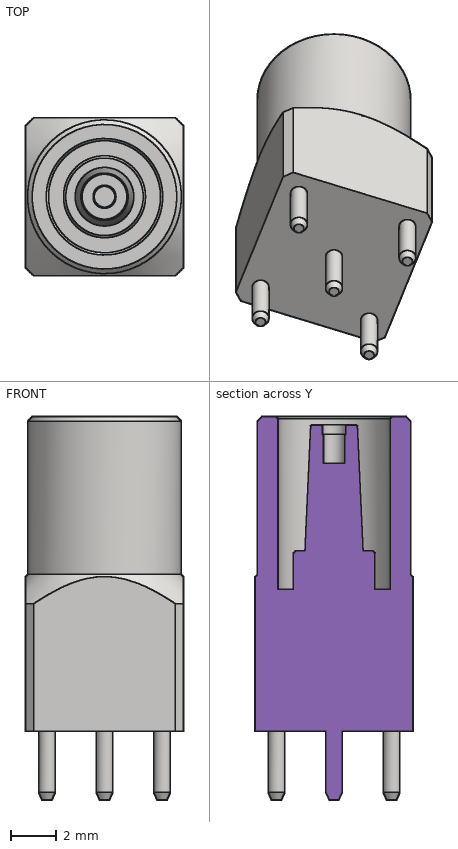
import cadquery as cq

total_height = 17.0
body_bottom = 3.05
barrel_bottom = 10.0

body_width = 7.0
body_corner_chamfer = 0.35

barrel_diameter = 6.82
barrel_rim_chamfer = 0.2

bore_diameter = 4.96
bore_rim_chamfer = 0.1
bore_depth = 7.65
sleeve_diameter = 3.64
sleeve_chamfer = 0.1
sleeve_top_depth = 5.95
contact_tip_diameter = 2.09
contact_root_diameter = 2.6
contact_chamfer = 0.05
contact_top_depth = 0.37
contact_mouth_diameter = 1.02
contact_mouth_depth = 0.42
contact_hole_diameter = 0.92
contact_hole_depth = 1.7

pin_diameter = 0.75
pin_tip_diameter = 0.45
pin_tip_length = 0.34
pin_spacing = 2.55


def cylinder(diameter, bottom, top):
    """Round bar on the Z axis between two heights."""
    return cq.Workplane("XY").workplane(offset=bottom).circle(diameter / 2).extrude(top - bottom)


def cone(bottom_diameter, top_diameter, bottom, top):
    """Tapered round bar on the Z axis between two heights."""
    return (
        cq.Workplane("XY")
        .workplane(offset=bottom)
        .circle(bottom_diameter / 2)
        .workplane(offset=top - bottom)
        .circle(top_diameter / 2)
        .loft()
    )


def make_body():
    """Square block with cut corners, its top turned to a 45 degree cone around the barrel."""
    block = (
        cq.Workplane("XY")
        .workplane(offset=body_bottom)
        .rect(body_width, body_width)
        .extrude(barrel_bottom - body_bottom)
        .edges("|Z")
        .chamfer(body_corner_chamfer)
    )
    foot_diameter = barrel_diameter + 2 * (barrel_bottom - body_bottom)
    envelope = cone(foot_diameter, barrel_diameter, body_bottom, barrel_bottom)
    return block.intersect(envelope)


def make_barrel():
    """Round barrel with a chamfered outer rim."""
    return cylinder(barrel_diameter, barrel_bottom, total_height).faces(">Z").chamfer(barrel_rim_chamfer)


def make_bore():
    """Material removed for the socket, flared at the rim."""
    bore = cylinder(bore_diameter, total_height - bore_depth, total_height)
    flare_diameter = bore_diameter + 2 * bore_rim_chamfer
    flare = cone(bore_diameter, flare_diameter, total_height - bore_rim_chamfer, total_height)
    return bore.union(flare)


def make_sleeve():
    """Insulating sleeve standing on the bore floor."""
    floor = total_height - bore_depth
    top = total_height - sleeve_top_depth
    return cylinder(sleeve_diameter, floor, top).faces(">Z").chamfer(sleeve_chamfer)


def make_contact():
    """Tapered centre contact that widens down to the top of the sleeve."""
    bottom = total_height - sleeve_top_depth
    top = total_height - contact_top_depth
    return cone(contact_root_diameter, contact_tip_diameter, bottom, top).faces(">Z").chamfer(contact_chamfer)


def make_contact_hole():
    """Blind stepped hole in the top of the contact."""
    top = total_height - contact_top_depth
    mouth = cylinder(contact_mouth_diameter, top - contact_mouth_depth, top)
    return mouth.union(cylinder(contact_hole_diameter, top - contact_hole_depth, top))


def make_pin():
    """Solder pin on the Z axis with a tapered tip."""
    shank = cylinder(pin_diameter, pin_tip_length, body_bottom)
    tip = cone(pin_tip_diameter, pin_diameter, 0, pin_tip_length)
    return shank.union(tip)


result = make_body().union(make_barrel()).cut(make_bore())
result = result.union(make_sleeve()).union(make_contact()).cut(make_contact_hole())

corner_pins = [(x, y) for x in (-pin_spacing, pin_spacing) for y in (-pin_spacing, pin_spacing)]
for x, y in [(0, 0)] + corner_pins:
    result = result.union(make_pin().translate((x, y, 0)))